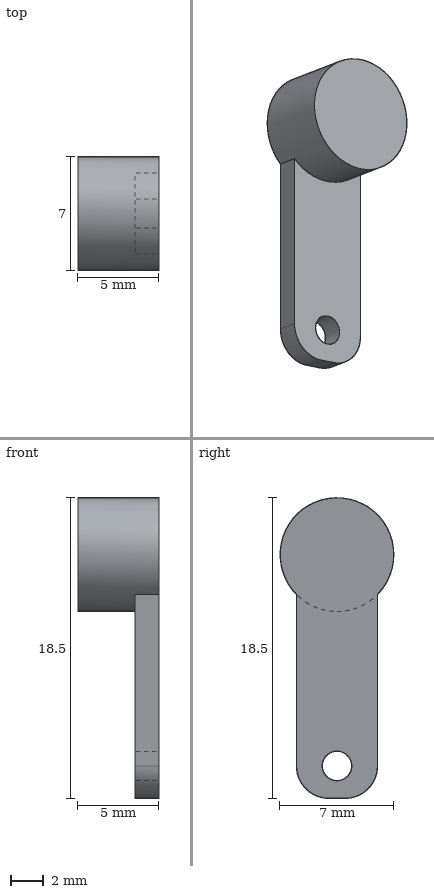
import cadquery as cq

head_diameter = 7.0
head_length = 5.0

total_height = 18.5
arm_width = 5.0
arm_thickness = 1.5
arm_corner_radius = 2.0

hole_diameter = 1.8

arm_length = total_height - head_diameter / 2
arm_inner_x = head_length - arm_thickness
hole_z = arm_corner_radius - arm_length


def make_head():
    """Solid cylinder from X = 0 to X = head_length."""
    return cq.Workplane("YZ").circle(head_diameter / 2).extrude(head_length)


def make_arm():
    """Plate from the head axis down to the tip, with rounded lower corners and a hole."""
    plate = (
        cq.Workplane("YZ", origin=(arm_inner_x, 0, -arm_length / 2))
        .rect(arm_width, arm_length)
        .extrude(arm_thickness)
        .edges("|X and <Z")
        .fillet(arm_corner_radius)
    )
    hole = (
        cq.Workplane("YZ", origin=(arm_inner_x, 0, hole_z))
        .circle(hole_diameter / 2)
        .extrude(arm_thickness)
    )
    return plate.cut(hole)


result = make_head().union(make_arm())